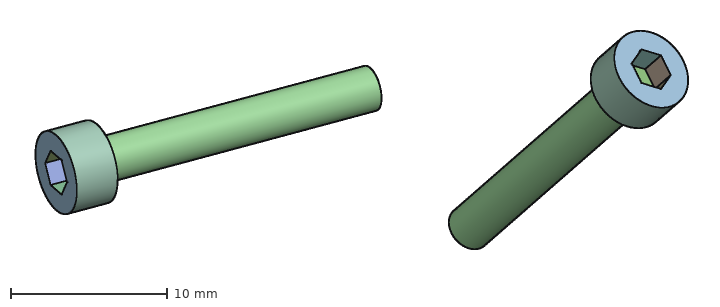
import cadquery as cq
import math

total_length = 23.0
head_length = 3.0
head_diameter = 5.5
shank_diameter = 3.0
socket_across_flats = 2.5
socket_depth = 2.0

shank_length = total_length - head_length
socket_across_corners = socket_across_flats / math.cos(math.radians(30))

head = cq.Workplane("XZ").circle(head_diameter / 2).extrude(head_length)
shank = cq.Workplane("XZ").circle(shank_diameter / 2).extrude(-shank_length)

socket = (
    cq.Workplane("XZ", origin=(0, -head_length, 0))
    .polygon(6, socket_across_corners)
    .extrude(-socket_depth)
)

result = head.union(shank).cut(socket)